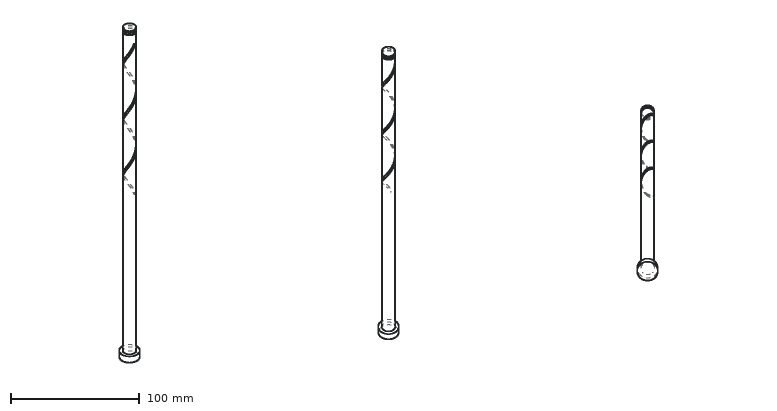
import cadquery as cq
import math

total_length = 315.0
head_diameter = 16.0
head_height = 6.0
shaft_radius = 10.5 / 2

tip_collar_height = 2.0
ring_groove_width = 2.2
ring_groove_depth = 0.5

spiral_pitch = 53.0
spiral_turns = 2.8
spiral_start_height = 153.0
spiral_width = 1.5
spiral_depth = 0.47
cutter_overhang = 0.47


def make_pin():
    head = cq.Workplane("XY").circle(head_diameter / 2).extrude(head_height)
    shaft = cq.Workplane("XY").circle(shaft_radius).extrude(total_length)
    return head.union(shaft)


def make_ring_cutter():
    groove_bottom = total_length - tip_collar_height - ring_groove_width
    return (
        cq.Workplane("XY", origin=(0, 0, groove_bottom))
        .circle(head_diameter / 2)
        .circle(shaft_radius - ring_groove_depth)
        .extrude(ring_groove_width)
    )


def make_spiral_cutter():
    helix = cq.Wire.makeHelix(spiral_pitch, spiral_pitch * spiral_turns, shaft_radius)
    rise_per_radian = spiral_pitch / (2 * math.pi)
    profile_plane = cq.Plane(
        origin=(shaft_radius, 0, 0),
        xDir=(1, 0, 0),
        normal=(0, shaft_radius, rise_per_radian),
    )
    cutter = (
        cq.Workplane(profile_plane)
        .center((cutter_overhang - spiral_depth) / 2, 0)
        .rect(spiral_depth + cutter_overhang, spiral_width)
        .sweep(cq.Workplane(obj=helix), isFrenet=True)
    )
    return cutter.rotate((0, 0, 0), (0, 0, 1), 90).translate((0, 0, spiral_start_height))


result = make_pin().cut(make_ring_cutter()).cut(make_spiral_cutter())